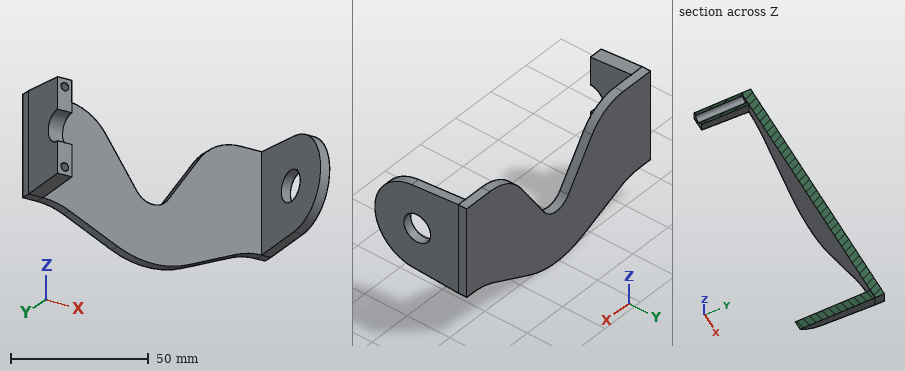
import cadquery as cq
import math

LENGTH = 104.6
DEPTH = 43.3
HEIGHT = 55.7
PLATE_THICKNESS = 4.0

END_TOP = 20.8
END_HEIGHT = 41.0
END_BOTTOM = END_TOP - END_HEIGHT
BLOCK_WIDTH = 6.2
LUG_THICKNESS = 4.0

WAVE_MIDDLE = 53.5
UPPER_WAVE_START = 15.7
UPPER_SHOULDER_RADIUS = 21.4
VALLEY_RADIUS = 8.2
VALLEY_BOTTOM = END_TOP - 32.2
LOWER_SHOULDER_RADIUS = 28.2
BELLY_RADIUS = 37.6
BELLY_BOTTOM = END_TOP - HEIGHT

BORE_DIAMETER = 12.5
BORE_Y = -23.3
LUG_RADIUS = 19.0
LUG_CENTER_Y = -DEPTH + LUG_RADIUS
SCREW_DIAMETER = 3.2
SCREW_OFFSET = 15.9


def along(center, radius, angle):
    """Point at a distance from a center, in the direction of an angle."""
    return (center[0] + radius * math.cos(angle), center[1] + radius * math.sin(angle))


def wave_points(start, shoulder_radius, end, trough_radius):
    """Points of half a wave from a level start down to a level end.

    Returns shoulder arc middle and end, then trough arc start.
    A straight flank tangent to both arcs joins them.
    """
    shoulder = (start[0], start[1] - shoulder_radius)
    trough = (end[0], end[1] + trough_radius)
    dx = trough[0] - shoulder[0]
    dz = trough[1] - shoulder[1]
    spread = math.acos((shoulder_radius + trough_radius) / math.hypot(dx, dz))
    normal = math.atan2(dz, dx) + spread
    middle = (normal + math.pi / 2) / 2
    return (
        along(shoulder, shoulder_radius, middle),
        along(shoulder, shoulder_radius, normal),
        along(trough, trough_radius, normal + math.pi),
    )


def mirrored(point):
    """Reflect an (x, z) point across the middle of the wave."""
    return (2 * WAVE_MIDDLE - point[0], point[1])


def make_plate():
    """Flat plate whose upper and lower edges dip in the middle."""
    upper_start = (UPPER_WAVE_START, END_TOP)
    valley = (WAVE_MIDDLE, VALLEY_BOTTOM)
    lower_start = (BLOCK_WIDTH, END_BOTTOM)
    belly = (WAVE_MIDDLE, BELLY_BOTTOM)
    up_mid, up_end, valley_start = wave_points(
        upper_start, UPPER_SHOULDER_RADIUS, valley, VALLEY_RADIUS
    )
    low_mid, low_end, belly_start = wave_points(
        lower_start, LOWER_SHOULDER_RADIUS, belly, BELLY_RADIUS
    )
    return (
        cq.Workplane("XZ")
        .moveTo(0, END_BOTTOM)
        .lineTo(0, END_TOP)
        .lineTo(*upper_start)
        .threePointArc(up_mid, up_end)
        .lineTo(*valley_start)
        .threePointArc(valley, mirrored(valley_start))
        .lineTo(*mirrored(up_end))
        .threePointArc(mirrored(up_mid), mirrored(upper_start))
        .lineTo(LENGTH, END_TOP)
        .lineTo(LENGTH, END_BOTTOM)
        .lineTo(*mirrored(lower_start))
        .threePointArc(mirrored(low_mid), mirrored(low_end))
        .lineTo(*mirrored(belly_start))
        .threePointArc(belly, belly_start)
        .lineTo(*low_end)
        .threePointArc(low_mid, lower_start)
        .close()
        .extrude(PLATE_THICKNESS)
    )


def lug_tangent(corner_z):
    """(y, z) where the side from a plate corner touches the lug's round end."""
    dy = -PLATE_THICKNESS - LUG_CENTER_Y
    swing = math.acos(LUG_RADIUS / math.hypot(dy, corner_z))
    toward_corner = math.atan2(corner_z, dy)
    angle = toward_corner + math.copysign(swing, corner_z)
    return along((LUG_CENTER_Y, 0), LUG_RADIUS, angle)


def side_z(corner_z, y):
    """Height of a tapered side at the given y."""
    tangent_y, tangent_z = lug_tangent(corner_z)
    fraction = (y + PLATE_THICKNESS) / (tangent_y + PLATE_THICKNESS)
    return corner_z + fraction * (tangent_z - corner_z)


def make_bore():
    """Cylinder along X that cuts the shaft bore through both block and lug."""
    return cq.Workplane("YZ").center(BORE_Y, 0).circle(BORE_DIAMETER / 2).extrude(LENGTH)


def make_lug():
    """Tapered lug with a round end and the full shaft bore."""
    body = (
        cq.Workplane("YZ", origin=(LENGTH - LUG_THICKNESS, 0, 0))
        .moveTo(-PLATE_THICKNESS, END_BOTTOM)
        .lineTo(-PLATE_THICKNESS, END_TOP)
        .lineTo(*lug_tangent(END_TOP))
        .threePointArc((-DEPTH, 0), lug_tangent(END_BOTTOM))
        .close()
        .extrude(LUG_THICKNESS)
    )
    return body.cut(make_bore())


def make_block():
    """Half clamp block that ends at the bore axis, with two screw holes."""
    body = (
        cq.Workplane("YZ")
        .moveTo(-PLATE_THICKNESS, END_BOTTOM)
        .lineTo(-PLATE_THICKNESS, END_TOP)
        .lineTo(BORE_Y, side_z(END_TOP, BORE_Y))
        .lineTo(BORE_Y, side_z(END_BOTTOM, BORE_Y))
        .close()
        .extrude(BLOCK_WIDTH)
    )
    screw_holes = (
        cq.Workplane("XZ", origin=(0, -PLATE_THICKNESS, 0))
        .pushPoints([(BLOCK_WIDTH / 2, z) for z in (-SCREW_OFFSET, SCREW_OFFSET)])
        .circle(SCREW_DIAMETER / 2)
        .extrude(-PLATE_THICKNESS - BORE_Y)
    )
    return body.cut(make_bore()).cut(screw_holes)


plate = make_plate()
lug = make_lug()
block = make_block()
result = cq.Compound.makeCompound([plate.val(), lug.val(), block.val()])